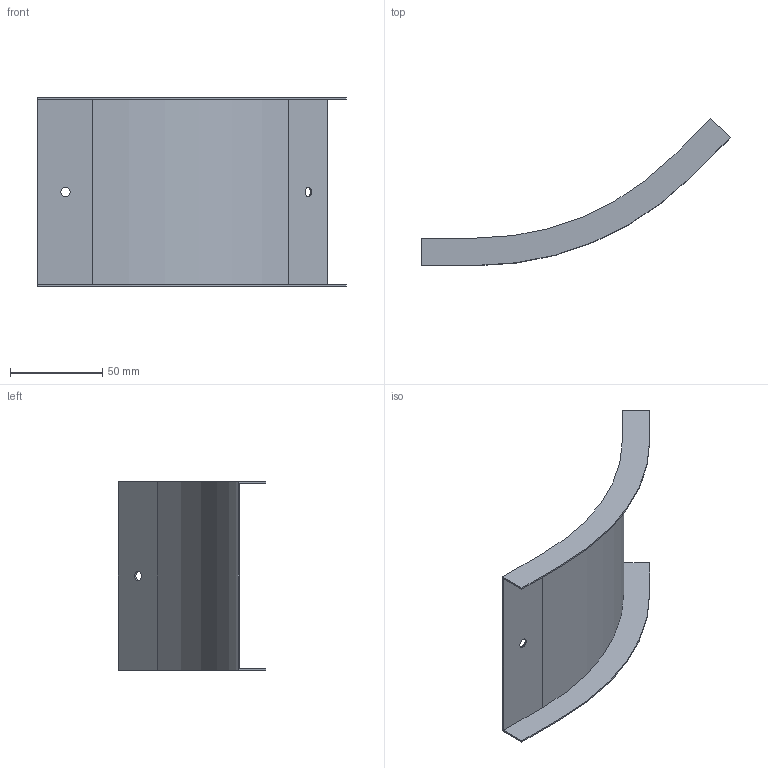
import cadquery as cq
import math

height = 102.0
thickness = 0.8
flange_width = 14.8
bend_angle = 45.0
web_front_radius = 150.0
bend_radius = web_front_radius - thickness
leg_length = 29.79
hole_diameter = 5.0
hole_from_end = 15.0

bend_sin = math.sin(math.radians(bend_angle))
bend_cos = math.cos(math.radians(bend_angle))


def path_point(depth, angle, along):
    """Point at a depth in front of the web's back face, past the bend angle by a straight distance."""
    radius = bend_radius + depth
    sine = math.sin(math.radians(angle))
    cosine = math.cos(math.radians(angle))
    x = leg_length + radius * sine + along * cosine
    y = bend_radius - radius * cosine + along * sine
    return (x, y)


def curved_strip(depth, strip_height):
    """Strip that follows the bend, reaching from the web's back face to the given depth."""
    half_angle = bend_angle / 2
    return (
        cq.Workplane("XY")
        .moveTo(0, 0)
        .lineTo(leg_length, 0)
        .threePointArc(path_point(0, half_angle, 0), path_point(0, bend_angle, 0))
        .lineTo(*path_point(0, bend_angle, leg_length))
        .lineTo(*path_point(depth, bend_angle, leg_length))
        .lineTo(*path_point(depth, bend_angle, 0))
        .threePointArc(path_point(depth, half_angle, 0), path_point(depth, 0, 0))
        .lineTo(0, -depth)
        .close()
        .extrude(strip_height)
    )


def hole_cutter(position, direction):
    """Cylinder through the web, centred on a point of its back face at mid height."""
    reach = flange_width
    start = cq.Vector(*position, height / 2) - direction * reach
    return cq.Workplane(obj=cq.Solid.makeCylinder(hole_diameter / 2, 2 * reach, start, direction))


web = curved_strip(thickness, height)
flange = curved_strip(flange_width, thickness)
channel = web.union(flange).union(flange.translate((0, 0, height - thickness)))

first_hole = hole_cutter((hole_from_end, 0), cq.Vector(0, 1, 0))
second_hole = hole_cutter(
    path_point(0, bend_angle, leg_length - hole_from_end),
    cq.Vector(-bend_sin, bend_cos, 0),
)

result = channel.cut(first_hole).cut(second_hole)